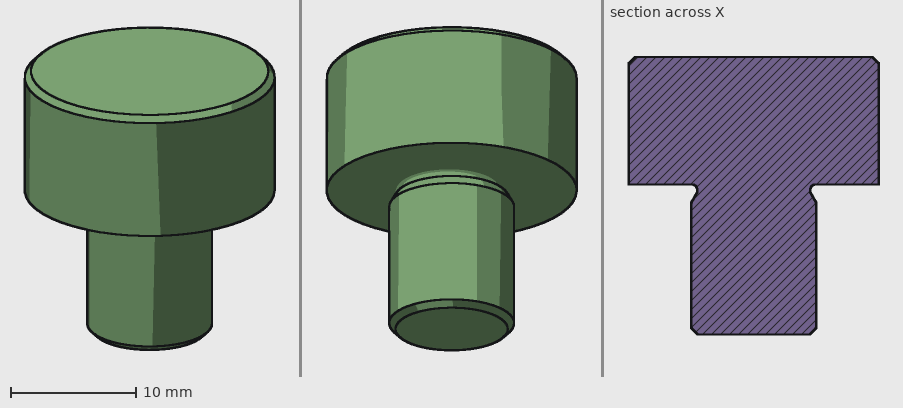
import cadquery as cq
import math

total_height = 22.2
head_diameter = 20.0
head_height = 10.21
shank_diameter = head_diameter / 2
edge_chamfer = 0.5

neck_depth = 0.47
neck_fillet = 0.4
neck_straight = 0.22
neck_cone_angle = 30.0

head_radius = head_diameter / 2
shank_radius = shank_diameter / 2
neck_radius = shank_radius - neck_depth
head_bottom = total_height - head_height
fillet_bottom = head_bottom - neck_fillet
cone_top = fillet_bottom - neck_straight
cone_bottom = cone_top - neck_depth / math.tan(math.radians(neck_cone_angle))

fillet_mid_offset = neck_fillet * (1 - math.sqrt(0.5))
fillet_mid = (neck_radius + fillet_mid_offset, head_bottom - fillet_mid_offset)

profile = (
    cq.Workplane("XZ")
    .moveTo(0, 0)
    .lineTo(shank_radius - edge_chamfer, 0)
    .lineTo(shank_radius, edge_chamfer)
    .lineTo(shank_radius, cone_bottom)
    .lineTo(neck_radius, cone_top)
    .lineTo(neck_radius, fillet_bottom)
    .threePointArc(fillet_mid, (neck_radius + neck_fillet, head_bottom))
    .lineTo(head_radius, head_bottom)
    .lineTo(head_radius, total_height - edge_chamfer)
    .lineTo(head_radius - edge_chamfer, total_height)
    .lineTo(0, total_height)
    .close()
)

result = profile.revolve(360, (0, 0, 0), (0, 1, 0))